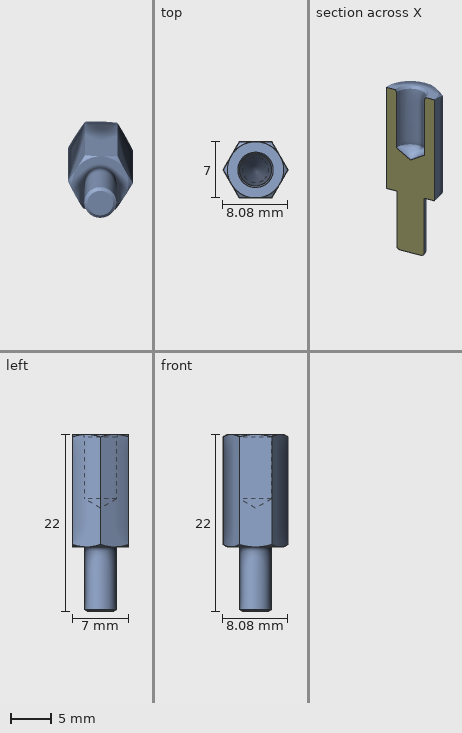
import cadquery as cq
import math

hex_sides = 6
across_flats = 7.0
body_length = 14.0
corner_chamfer_angle = 30.0

stud_diameter = 4.0
stud_length = 8.0
stud_chamfer_width = 0.4
stud_chamfer_angle = 30.0

hole_diameter = 4.0
hole_depth = 8.0
drill_point_angle = 120.0
hole_mouth_diameter = 4.4
hole_mouth_angle = 60.0

across_corners = across_flats / math.cos(math.pi / hex_sides)


def revolve_profile(points):
    """Revolve a closed (radius, z) outline about the Z axis."""
    axis_start = (0, 0)
    axis_end = (0, 1)
    return cq.Workplane("XZ").polyline(points).close().revolve(360, axis_start, axis_end)


def hex_body():
    """Hexagonal prism standing on Z = 0, with its corners turned off conically at both ends."""
    prism = cq.Workplane("XY").polygon(hex_sides, across_corners).extrude(body_length)
    face_radius = across_flats / 2
    corner_radius = across_corners / 2
    corner_drop = (corner_radius - face_radius) * math.tan(math.radians(corner_chamfer_angle))
    turned_envelope = revolve_profile([
        (0, 0),
        (face_radius, 0),
        (corner_radius, corner_drop),
        (corner_radius, body_length - corner_drop),
        (face_radius, body_length),
        (0, body_length),
    ])
    return prism.intersect(turned_envelope)


def stud():
    """Round stud hanging below the body, with a chamfered tip."""
    radius = stud_diameter / 2
    chamfer_height = stud_chamfer_width * math.tan(math.radians(stud_chamfer_angle))
    return revolve_profile([
        (0, 0),
        (radius, 0),
        (radius, chamfer_height - stud_length),
        (radius - stud_chamfer_width, -stud_length),
        (0, -stud_length),
    ])


def blind_hole():
    """Cutter for the blind hole: chamfered mouth, straight bore and conical bottom."""
    radius = hole_diameter / 2
    mouth_radius = hole_mouth_diameter / 2
    mouth_depth = (mouth_radius - radius) / math.tan(math.radians(hole_mouth_angle / 2))
    bore_bottom = body_length - hole_depth
    point_depth = radius / math.tan(math.radians(drill_point_angle / 2))
    return revolve_profile([
        (0, body_length),
        (mouth_radius, body_length),
        (radius, body_length - mouth_depth),
        (radius, bore_bottom),
        (0, bore_bottom - point_depth),
    ])


result = hex_body().union(stud()).cut(blind_hole())